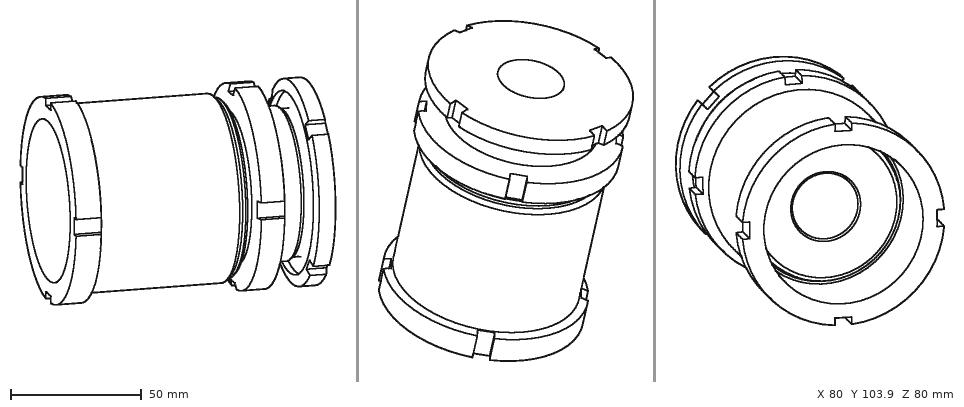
import cadquery as cq
import math


ring_radius = 40.0
notch_width = 6.7
notch_floor_radius = 37.0
notch_count = 4
ring_chamfer_radius = 36.5
ring_chamfer_length = 1.0

housing_length = 70.0
housing_radius = 36.5
foot_thickness = 10.9
foot_chamfer_length = 0.8
collar_radius = 34.8
collar_length = 2.3
collar_chamfer = 1.0
shoulder_chamfer = housing_radius - collar_radius
bore_radius = 31.5
bore_depth = 30.8
thread_radius = 29.9
thread_chamfer = 0.5

total_length = 103.9
spindle_start = 27.5
thread_end = 93.6
neck_side_chamfer_length = 1.4
neck_side_radius = 29.0
tip_chamfer = 1.8
neck_radius = 28.6
neck_fillet = neck_side_radius - neck_radius
head_thickness = 8.3
head_start = total_length - head_thickness
head_back_chamfer_length = 0.7
head_recess_radius = 35.4
head_recess_depth = 2.6
hole_radius = 13.0
hole_chamfer = 0.8
spindle_turn = 43.2

nut_start = 72.7
nut_thickness = 11.3
nut_turn = -1.5


def turn(profile):
    """Revolve an (X, Y) profile of points about the Y axis."""
    return profile.close().revolve(360, (0, 0, 0), (0, 1, 0))


def cut_notches(body, start, length, turn_angle):
    """Cut the spanner notches into a ring, the first turned by turn_angle from +X."""
    for index in range(notch_count):
        notch = (
            cq.Workplane("XY")
            .box(ring_radius, length, notch_width, centered=(False, False, True))
            .translate((notch_floor_radius, start, 0))
            .rotate((0, 0, 0), (0, 1, 0), turn_angle + index * 360 / notch_count)
        )
        body = body.cut(notch)
    return body


def make_housing():
    """Flanged sleeve with a wide bore at the foot and a threaded bore above it."""
    collar_start = housing_length - collar_length
    body = turn(
        cq.Workplane("XY")
        .moveTo(bore_radius, 0)
        .lineTo(ring_radius, 0)
        .lineTo(ring_radius, foot_thickness - foot_chamfer_length)
        .lineTo(notch_floor_radius, foot_thickness)
        .lineTo(housing_radius, foot_thickness)
        .lineTo(housing_radius, collar_start - shoulder_chamfer)
        .lineTo(collar_radius, collar_start)
        .lineTo(collar_radius, housing_length - collar_chamfer)
        .lineTo(collar_radius - collar_chamfer, housing_length)
        .lineTo(thread_radius, housing_length)
        .lineTo(thread_radius, bore_depth + thread_chamfer)
        .lineTo(thread_radius + thread_chamfer, bore_depth)
        .lineTo(bore_radius, bore_depth)
    )
    return cut_notches(body, 0, foot_thickness, 0)


def make_spindle():
    """Threaded spindle with a through hole, an undercut neck and a recessed head."""
    tip_radius = thread_radius - tip_chamfer
    recess_floor = head_start + head_recess_depth
    arc_offset = neck_fillet * (1 - math.sqrt(0.5))
    body = turn(
        cq.Workplane("XY")
        .moveTo(hole_radius + hole_chamfer, spindle_start)
        .lineTo(tip_radius, spindle_start)
        .lineTo(thread_radius, spindle_start + tip_chamfer)
        .lineTo(thread_radius, thread_end - neck_side_chamfer_length)
        .lineTo(neck_side_radius, thread_end)
        .threePointArc(
            (neck_radius + arc_offset, thread_end + arc_offset),
            (neck_radius, thread_end + neck_fillet),
        )
        .lineTo(neck_radius, recess_floor - neck_fillet)
        .threePointArc(
            (neck_radius + arc_offset, recess_floor - arc_offset),
            (neck_radius + neck_fillet, recess_floor),
        )
        .lineTo(head_recess_radius, recess_floor)
        .lineTo(head_recess_radius, head_start)
        .lineTo(ring_chamfer_radius, head_start)
        .lineTo(ring_radius, head_start + ring_chamfer_length)
        .lineTo(ring_radius, total_length - head_back_chamfer_length)
        .lineTo(notch_floor_radius, total_length)
        .lineTo(hole_radius, total_length)
        .lineTo(hole_radius, spindle_start + hole_chamfer)
    )
    return cut_notches(body, head_start, head_thickness, spindle_turn)


def make_ring_nut():
    """Lock nut on the spindle thread, chamfered on both rims."""
    nut_end = nut_start + nut_thickness
    body = turn(
        cq.Workplane("XY")
        .moveTo(thread_radius, nut_start)
        .lineTo(ring_chamfer_radius, nut_start)
        .lineTo(ring_radius, nut_start + ring_chamfer_length)
        .lineTo(ring_radius, nut_end - ring_chamfer_length)
        .lineTo(ring_chamfer_radius, nut_end)
        .lineTo(thread_radius, nut_end)
    )
    return cut_notches(body, nut_start, nut_thickness, nut_turn)


housing = make_housing()
spindle = make_spindle()
ring_nut = make_ring_nut()

result = cq.Compound.makeCompound([housing.val(), spindle.val(), ring_nut.val()])